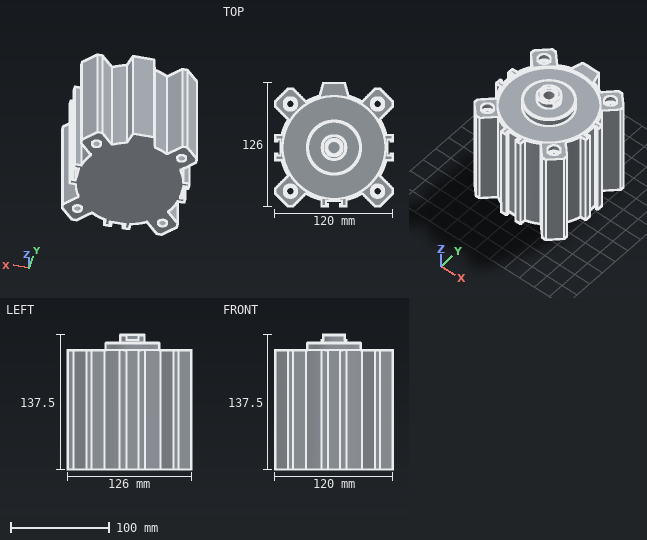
import cadquery as cq
import math

total_height = 137.5
envelope = 120.0

housing_height = 121.8
tube_radius = 54.9
end_recess_dia = 105.0
end_recess_depth = 2.5
boss_dia = 55.0
boss_rise = 7.5
boss_chamfer = 1.0

lug_width = 25.6
lug_reach = 75.6
bolt_pitch = 89.0
bolt_hole_dia = 9.0
counterbore_dia = 13.5
counterbore_depth = 8.4

rail_angles = (0, 180, 270)
rail_width = 26.0
slot_mouth_width = 12.0
slot_inner_width = 16.1
slot_lip = 2.5
slot_depth = 5.4

rib_reach = 66.0
rib_outer_width = 22.0
rib_taper = 15.5

rod_dia = 25.0
rod_embed = 41.2
rod_chamfer = 0.5
rod_flat_width = 22.0
rod_flat_height = 5.5
rod_bore_dia = 13.9
rod_bore_depth = 27.5
rod_bore_mouth_dia = 17.6
rod_bore_mouth_angle = 90.0

half_envelope = envelope / 2
boss_top = housing_height + boss_rise
recess_floor = housing_height - end_recess_depth
rod_bottom = boss_top - rod_embed
rod_length = total_height - rod_bottom


def upright_box(size_x, size_y, height):
    """Box centred on the Z axis, standing on Z = 0."""
    return cq.Workplane("XY").box(size_x, size_y, height, centered=(True, True, False))


def cylinder(diameter, bottom, height):
    """Cylinder on the Z axis, rising from Z = bottom."""
    return cq.Workplane("XY").workplane(offset=bottom).circle(diameter / 2).extrude(height)


def turn(shape, angle):
    """Shape turned about the Z axis by an angle in degrees."""
    return shape.rotate((0, 0, 0), (0, 0, 1), angle)


def corner_lugs():
    """Four diagonal lugs: two crossed bars trimmed by the square envelope."""
    bar = upright_box(2 * lug_reach, lug_width, housing_height)
    cross = turn(bar, 45).union(turn(bar, -45))
    return cross.intersect(upright_box(envelope, envelope, housing_height))


def rail():
    """Rail on the +X side, before its slot is cut."""
    return upright_box(half_envelope, rail_width, housing_height).translate((half_envelope / 2, 0, 0))


def rail_slot():
    """T-slot of the +X rail: a narrow mouth opening into a wider channel."""
    channel_depth = slot_depth - slot_lip
    mouth_x = half_envelope - slot_depth / 2
    channel_x = half_envelope - slot_lip - channel_depth / 2
    mouth = upright_box(slot_depth, slot_mouth_width, housing_height).translate((mouth_x, 0, 0))
    channel = upright_box(channel_depth, slot_inner_width, housing_height).translate((channel_x, 0, 0))
    return mouth.union(channel)


def tapered_rib():
    """Rib on the +Y side that widens toward the tube, starting well inside it."""
    root = tube_radius / 2
    outer_half = rib_outer_width / 2
    root_half = outer_half + (rib_reach - root) * math.tan(math.radians(rib_taper))
    outline = [(-root_half, root), (root_half, root), (outer_half, rib_reach), (-outer_half, rib_reach)]
    return cq.Workplane("XY").polyline(outline).close().extrude(housing_height)


def make_housing():
    """Tube with lugs, rib and slotted rails, and a recessed end face carrying the rod boss."""
    body = cylinder(2 * tube_radius, 0, housing_height)
    body = body.union(corner_lugs()).union(tapered_rib())

    for angle in rail_angles:
        body = body.union(turn(rail(), angle)).cut(turn(rail_slot(), angle))

    body = (
        body.faces(">Z").workplane(origin=(0, 0, housing_height))
        .rect(bolt_pitch, bolt_pitch, forConstruction=True).vertices()
        .cboreHole(bolt_hole_dia, counterbore_dia, counterbore_depth)
    )

    recess = cylinder(end_recess_dia, recess_floor, end_recess_depth)
    boss = cylinder(boss_dia, recess_floor, boss_top - recess_floor)
    boss = boss.faces(">Z").chamfer(boss_chamfer)
    body = body.cut(recess).union(boss)

    return body.cut(cylinder(rod_dia, rod_bottom, rod_embed))


def make_rod():
    """Rod with wrench flats and a blind bore at its free end."""
    rod = cylinder(rod_dia, rod_bottom, rod_length)
    rod = rod.faces(">Z").chamfer(rod_chamfer)

    flat_zone = upright_box(rod_dia, rod_dia, rod_flat_height)
    flat_core = upright_box(rod_flat_width, rod_dia, rod_flat_height)
    flat_cut = flat_zone.cut(flat_core).translate((0, 0, total_height - rod_flat_height))
    rod = rod.cut(flat_cut)

    return (
        rod.faces(">Z").workplane(origin=(0, 0, total_height))
        .cskHole(rod_bore_dia, rod_bore_mouth_dia, rod_bore_mouth_angle, rod_bore_depth)
    )


housing = make_housing()
rod = make_rod()
result = cq.Compound.makeCompound([housing.val(), rod.val()])